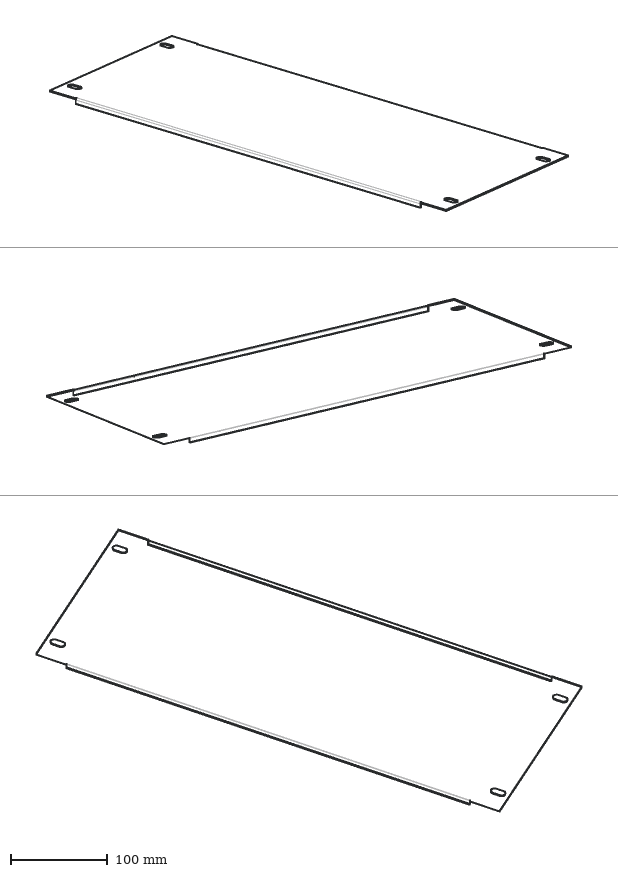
import cadquery as cq

panel_length = 530.0
panel_width = 199.0
sheet_thickness = 1.5

flange_length = 461.0
bend_outer_radius = 1.8
bend_inner_radius = bend_outer_radius - sheet_thickness
lip_height = 4.7
panel_height = bend_outer_radius + lip_height

slot_spacing_x = 503.5
slot_spacing_y = 150.0
slot_length = 16.0
slot_width = 8.0

half_width = panel_width / 2


def make_sheet():
    """Flat panel, with its top face at Z = 0, narrowed between the two bends."""
    sheet = cq.Workplane("XY").box(
        panel_length, panel_width, sheet_thickness, centered=(True, True, False)
    ).translate((0, 0, -sheet_thickness))
    for side in (-1, 1):
        bend_relief = cq.Workplane("XY").box(
            flange_length, bend_outer_radius, 2 * sheet_thickness
        ).translate((0, side * (half_width - bend_outer_radius / 2), -sheet_thickness / 2))
        sheet = sheet.cut(bend_relief)
    return sheet


def make_flange():
    """Bend and downturned lip along the +Y edge."""
    bend_start = half_width - bend_outer_radius
    inner_face = half_width - sheet_thickness
    return (
        cq.Workplane("YZ")
        .workplane(offset=-flange_length / 2)
        .moveTo(bend_start, 0)
        .radiusArc((half_width, -bend_outer_radius), bend_outer_radius)
        .lineTo(half_width, -panel_height)
        .lineTo(inner_face, -panel_height)
        .lineTo(inner_face, -bend_outer_radius)
        .radiusArc((bend_start, -sheet_thickness), -bend_inner_radius)
        .close()
        .extrude(flange_length)
    )


def make_slots():
    """Four mounting slots through the sheet."""
    return (
        cq.Workplane("XY")
        .rect(slot_spacing_x, slot_spacing_y, forConstruction=True)
        .vertices()
        .slot2D(slot_length, slot_width)
        .extrude(-sheet_thickness)
    )


flange = make_flange()
result = make_sheet().union(flange).union(flange.mirror("XZ")).cut(make_slots())